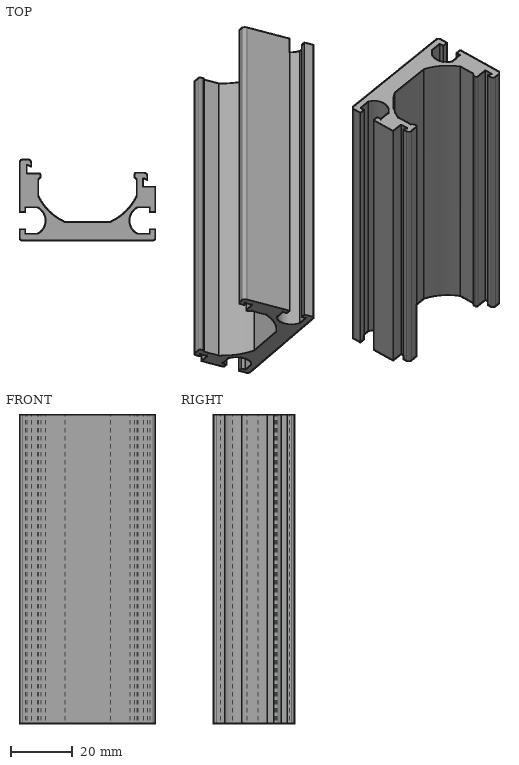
import cadquery as cq
import math

length = 100.0
width = 44.0
height = 26.3
half_width = width / 2

cavity_wall = 6.1
floor_height = 6.1
trough_radius = 17.7
trough_center_y = 22.2

slot_center_y = 6.5
slot_mouth = 5.5
slot_chamber = 8.5
slot_lip = 1.9
slot_depth = 8.4
slot_straight_depth = 5.8

left_ledge_y = 21.8
right_ledge_y = 17.5
groove_height = 2.7
groove_lip_height = 2.1
hook_height = height - left_ledge_y
hook_overhang = 1.4
left_groove_x = 2.4
right_groove_x = width - 4.0
right_top_y = right_ledge_y + hook_height

bead_x = 6.8
bead_bottom_y = 20.5
bead_neck_y = bead_bottom_y - (bead_x - cavity_wall)
bead_top_round = 0.5

base_round = 0.9
hook_round = 1.1


def prism(points):
    """Extrude a closed polygon over the full length."""
    return cq.Workplane("XY").polyline(points).close().extrude(length)


def block(x_min, x_max, y_min, y_max):
    """Full-length rectangular bar between the given limits."""
    bar = cq.Workplane("XY").box(x_max - x_min, y_max - y_min, length, centered=False)
    return bar.translate((x_min, y_min, 0))


def round_edge(body, x, y, radius):
    """Round the lengthwise edge passing through (x, y)."""
    return body.edges(cq.selectors.NearestToPointSelector((x, y, length / 2))).fillet(radius)


def hook(groove_x, ledge_y):
    """Overhanging lip with a sloped underside, pointing toward +X."""
    lip_x = groove_x + hook_overhang
    top_y = ledge_y + hook_height
    lip = prism([
        (groove_x, ledge_y + groove_height),
        (lip_x, ledge_y + groove_lip_height),
        (lip_x, top_y),
        (groove_x, top_y),
    ])
    return round_edge(lip, lip_x, top_y, hook_round)


def bead(top_y):
    """Inner edge bead of the left wall, tapering back to the wall below."""
    body = prism([
        (cavity_wall, bead_neck_y),
        (bead_x, bead_bottom_y),
        (bead_x, top_y),
        (cavity_wall, top_y),
    ])
    return round_edge(body, bead_x, top_y, bead_top_round)


def mirrored(body):
    """Copy of the body on the other side of the profile's middle plane."""
    return body.mirror("YZ", (half_width, 0, 0))


def base_with_trough():
    """Base and lower walls, rounded at the bottom corners and hollowed by the trough."""
    base = block(0, width, 0, right_ledge_y).edges("|Z and <Y").fillet(base_round)
    wall_reach = half_width - cavity_wall
    wall_foot_y = trough_center_y - math.sqrt(trough_radius**2 - wall_reach**2)
    floor_drop = trough_center_y - floor_height
    floor_reach = math.sqrt(trough_radius**2 - floor_drop**2)
    diagonal = trough_radius / math.sqrt(2)
    cavity = (
        cq.Workplane("XY")
        .moveTo(cavity_wall, height)
        .lineTo(cavity_wall, wall_foot_y)
        .threePointArc(
            (half_width - diagonal, trough_center_y - diagonal),
            (half_width - floor_reach, floor_height),
        )
        .lineTo(half_width + floor_reach, floor_height)
        .threePointArc(
            (half_width + diagonal, trough_center_y - diagonal),
            (width - cavity_wall, wall_foot_y),
        )
        .lineTo(width - cavity_wall, height)
        .close()
        .extrude(length)
    )
    return base.cut(cavity)


def side_slot():
    """Void of the left slot."""
    half_chamber = slot_chamber / 2
    chamber_bottom = slot_center_y - half_chamber
    chamber_top = slot_center_y + half_chamber
    chamber = (
        cq.Workplane("XY")
        .moveTo(slot_lip, chamber_bottom)
        .lineTo(slot_straight_depth, chamber_bottom)
        .threePointArc((slot_depth, slot_center_y), (slot_straight_depth, chamber_top))
        .lineTo(slot_lip, chamber_top)
        .close()
        .extrude(length)
    )
    half_mouth = slot_mouth / 2
    mouth = block(0, slot_lip, slot_center_y - half_mouth, slot_center_y + half_mouth)
    return chamber.union(mouth)


def left_wall_top():
    """Taller wall: outer hook plus a beaded ledge inside it."""
    post = block(0, left_groove_x, right_ledge_y, height)
    post = round_edge(post, 0, height, hook_round)
    shelf = block(left_groove_x, cavity_wall, right_ledge_y, left_ledge_y)
    return post.union(shelf).union(hook(left_groove_x, left_ledge_y)).union(bead(left_ledge_y))


def right_wall_top():
    """Shorter wall: beaded post carrying the outward hook above the outer ledge."""
    post = block(width - cavity_wall, right_groove_x, right_ledge_y, right_top_y)
    return post.union(hook(right_groove_x, right_ledge_y)).union(mirrored(bead(right_top_y)))


slot = side_slot()
profile = base_with_trough().cut(slot).cut(mirrored(slot))
profile = profile.union(left_wall_top()).union(right_wall_top()).clean()

result = profile.translate((-half_width, 0, -length / 2))